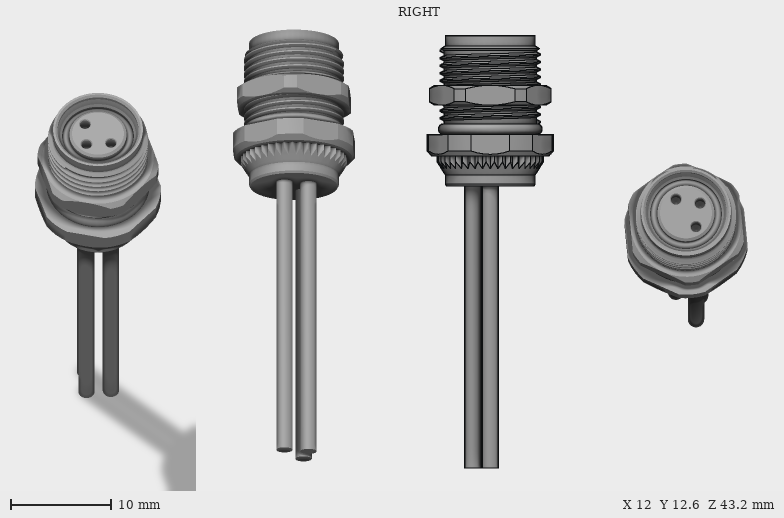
import cadquery as cq
import math

total_height = 43.2
wire_radius = 0.8
contact_pitch = 1.73
wire_embed = 0.45

body_base = 28.15
knurl_base = 29.3
flange_base = 31.15
flange_top = 33.3
seal_top = 34.4
thread_end = 42.15

collar_radius = 4.5
neck_radius = 4.75
seal_radius = 5.2
thread_root_radius = 4.62
base_chamfer_width = 0.15
base_chamfer_height = 0.2

thread_crest_radius = 5.0
thread_start = 34.55
thread_start_angle = 90.0
thread_length = 7.13
thread_turns = 9.5
thread_pitch = thread_length / thread_turns
thread_crest_width = 0.15
thread_base_width = 0.6
thread_overlap = 0.1
lead_in_radius = 4.92
lead_in_height = 0.25
lead_in_flank_height = 0.2

knurl_radius = 5.3
knurl_root_radius = 4.9
knurl_cone_top = 30.6
knurl_teeth = 40

hexagon_sides = 6
flange_apothem = 6.0
flange_corner_radius = 6.3
flange_chamfer_width = 0.48
flange_chamfer_height = 0.5
nut_base = 36.25
nut_top = 38.25
nut_apothem = 5.57
nut_corner_radius = 6.1
nut_chamfer_width = nut_corner_radius - nut_apothem
nut_chamfer_height = 0.35

socket_depth = 1.6
rim_radius = 4.28
rim_chamfer_radius = 4.05
rim_chamfer_depth = 0.17
cone_top_depth = 0.48
cone_middle_depth = 0.95
cone_middle_radius = 3.8
cone_base_depth = 1.12
cone_base_radius = 3.6
ring_radius = 3.2
ring_section_radius = 0.4
ring_top_depth = 1.2

insert_radius = 2.85
insert_face_radius = 2.6
insert_depth = 0.7
insert_chamfer_height = 0.17
hole_radius = 0.5
hole_mouth_radius = 0.6
hole_mouth_depth = 0.1
hole_depth = 1.3
hole_tip_depth = 0.45

contact_positions = [(-contact_pitch, 0), (contact_pitch, 0), (0, -contact_pitch)]


def revolve_about_z(profile):
    """Revolve a closed profile, drawn as (radius, height), about the Z axis."""
    return profile.close().revolve(360, (0, 0, 0), (0, 1, 0))


def make_core():
    """Turned body with collars at both ends, the outer seal bead and the thread lead-in cone."""
    lead_in_base = thread_end - lead_in_height
    profile = (
        cq.Workplane("XZ")
        .moveTo(0, body_base)
        .lineTo(collar_radius - base_chamfer_width, body_base)
        .lineTo(collar_radius, body_base + base_chamfer_height)
        .lineTo(collar_radius, flange_base)
        .lineTo(neck_radius, flange_base)
        .lineTo(neck_radius, flange_top)
        .threePointArc((seal_radius, (flange_top + seal_top) / 2), (neck_radius, seal_top))
        .lineTo(thread_root_radius, seal_top)
        .lineTo(thread_root_radius, lead_in_base - lead_in_flank_height)
        .lineTo(lead_in_radius, lead_in_base)
        .lineTo(collar_radius, thread_end)
        .lineTo(collar_radius, total_height)
        .lineTo(0, total_height)
    )
    return revolve_about_z(profile)


def make_thread():
    """Right-handed helical ridge that starts on the +Y side."""
    inner_radius = thread_root_radius - thread_overlap
    helix = cq.Wire.makeHelix(thread_pitch, thread_length, inner_radius)
    ridge = (
        cq.Workplane("XZ")
        .moveTo(inner_radius, -thread_base_width / 2)
        .lineTo(thread_crest_radius, -thread_crest_width / 2)
        .lineTo(thread_crest_radius, thread_crest_width / 2)
        .lineTo(inner_radius, thread_base_width / 2)
        .close()
        .sweep(cq.Workplane(obj=helix), isFrenet=True)
    )
    return ridge.rotate((0, 0, 0), (0, 0, 1), thread_start_angle).translate((0, 0, thread_start))


def make_hexagon(base, top, apothem):
    """Hexagonal prism with two flats facing -X and +X."""
    half_side_angle = 180 / hexagon_sides
    across_corners = 2 * apothem / math.cos(math.radians(half_side_angle))
    prism = cq.Workplane("XY").workplane(offset=base).polygon(hexagon_sides, across_corners)
    prism = prism.extrude(top - base)
    return prism.rotate((0, 0, 0), (0, 0, 1), half_side_angle)


def make_flange():
    """Fixed hexagon with rounded corners, chamfered underneath."""
    profile = (
        cq.Workplane("XZ")
        .moveTo(0, flange_base)
        .lineTo(flange_corner_radius - flange_chamfer_width, flange_base)
        .lineTo(flange_corner_radius, flange_base + flange_chamfer_height)
        .lineTo(flange_corner_radius, flange_top)
        .lineTo(0, flange_top)
    )
    return make_hexagon(flange_base, flange_top, flange_apothem).intersect(revolve_about_z(profile))


def make_nut():
    """Hexagon nut with rounded corners, chamfered on both faces."""
    profile = (
        cq.Workplane("XZ")
        .moveTo(0, nut_base)
        .lineTo(nut_corner_radius - nut_chamfer_width, nut_base)
        .lineTo(nut_corner_radius, nut_base + nut_chamfer_height)
        .lineTo(nut_corner_radius, nut_top - nut_chamfer_height)
        .lineTo(nut_corner_radius - nut_chamfer_width, nut_top)
        .lineTo(0, nut_top)
    )
    return make_hexagon(nut_base, nut_top, nut_apothem).intersect(revolve_about_z(profile))


def make_knurl():
    """Ring of V-shaped teeth that tapers into the base collar."""
    outline = []
    for corner in range(2 * knurl_teeth):
        radius = knurl_root_radius if corner % 2 == 0 else knurl_radius
        angle = math.pi * corner / knurl_teeth
        outline.append((radius * math.cos(angle), radius * math.sin(angle)))
    toothed = cq.Workplane("XY").workplane(offset=knurl_base).polyline(outline).close()
    toothed = toothed.extrude(flange_base - knurl_base)
    taper = (
        cq.Workplane("XZ")
        .moveTo(0, knurl_base)
        .lineTo(collar_radius, knurl_base)
        .lineTo(knurl_radius, knurl_cone_top)
        .lineTo(knurl_radius, flange_base)
        .lineTo(0, flange_base)
    )
    return toothed.intersect(revolve_about_z(taper))


def make_socket():
    """Recess with two cones around the contact insert, with a sealing ring on its floor."""
    floor = total_height - socket_depth
    insert_face = total_height - insert_depth
    recess = (
        cq.Workplane("XZ")
        .moveTo(0, total_height)
        .lineTo(rim_radius, total_height)
        .lineTo(rim_chamfer_radius, total_height - rim_chamfer_depth)
        .lineTo(rim_chamfer_radius, total_height - cone_top_depth)
        .lineTo(cone_middle_radius, total_height - cone_middle_depth)
        .lineTo(cone_base_radius, total_height - cone_base_depth)
        .lineTo(cone_base_radius, floor)
        .lineTo(insert_radius, floor)
        .lineTo(insert_radius, insert_face - insert_chamfer_height)
        .lineTo(insert_face_radius, insert_face)
        .lineTo(0, insert_face)
    )
    ring_height = total_height - ring_top_depth - ring_section_radius
    ring = cq.Solid.makeTorus(ring_radius, ring_section_radius, cq.Vector(0, 0, ring_height))
    return revolve_about_z(recess).cut(cq.Workplane(obj=ring))


def make_contact_hole():
    """Blind hole with a chamfered mouth and a conical tip."""
    mouth = total_height - insert_depth
    profile = (
        cq.Workplane("XZ")
        .moveTo(0, mouth)
        .lineTo(hole_mouth_radius, mouth)
        .lineTo(hole_radius, mouth - hole_mouth_depth)
        .lineTo(hole_radius, mouth - hole_depth)
        .lineTo(0, mouth - hole_depth - hole_tip_depth)
    )
    return revolve_about_z(profile)


body = make_core().union(make_thread())
body = body.union(make_nut()).union(make_flange()).union(make_knurl())

wires = (
    cq.Workplane("XY")
    .pushPoints(contact_positions)
    .circle(wire_radius)
    .extrude(body_base + wire_embed)
)
body = body.union(wires)
body = body.cut(make_socket())
for x, y in contact_positions:
    body = body.cut(make_contact_hole().translate((x, y, 0)))

result = body